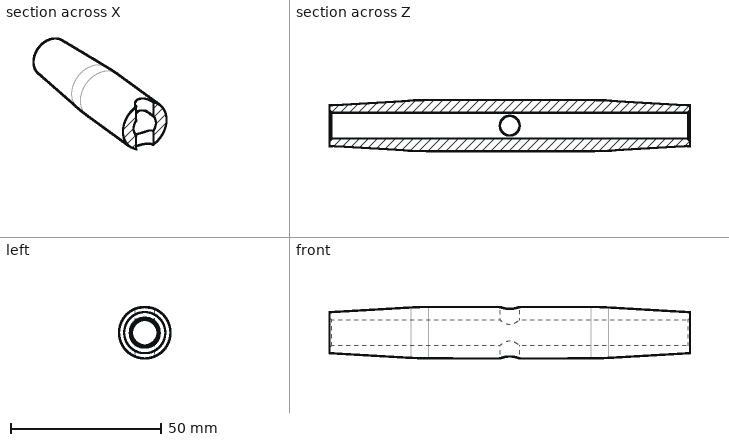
import cadquery as cq
import math

length = 120.0
body_diameter = 17.2
end_diameter = 13.7
taper_length = 30.0
blend_radius = 100.0

bore_diameter = 8.5
bore_mouth_diameter = 10.0
bore_chamfer = (bore_mouth_diameter - bore_diameter) / 2

cross_hole_diameter = 6.5

half_length = length / 2
body_radius = body_diameter / 2
end_radius = end_diameter / 2
bore_radius = bore_diameter / 2
mouth_radius = bore_mouth_diameter / 2

taper_angle = math.atan2(body_radius - end_radius, taper_length)
corner_x = half_length - taper_length
tangent_length = blend_radius * math.tan(taper_angle / 2)
body_tangent_x = corner_x - tangent_length
taper_tangent_x = corner_x + tangent_length * math.cos(taper_angle)
taper_tangent_radius = body_radius - tangent_length * math.sin(taper_angle)
arc_middle_x = body_tangent_x + blend_radius * math.sin(taper_angle / 2)
arc_middle_radius = body_radius - blend_radius * (1 - math.cos(taper_angle / 2))


def make_tube():
    """Revolve the wall section of the tube about the X axis."""
    section = (
        cq.Workplane("XZ")
        .moveTo(-half_length, end_radius)
        .lineTo(-taper_tangent_x, taper_tangent_radius)
        .threePointArc((-arc_middle_x, arc_middle_radius), (-body_tangent_x, body_radius))
        .lineTo(body_tangent_x, body_radius)
        .threePointArc((arc_middle_x, arc_middle_radius), (taper_tangent_x, taper_tangent_radius))
        .lineTo(half_length, end_radius)
        .lineTo(half_length, mouth_radius)
        .lineTo(half_length - bore_chamfer, bore_radius)
        .lineTo(bore_chamfer - half_length, bore_radius)
        .lineTo(-half_length, mouth_radius)
        .close()
    )
    return section.revolve(360, (0, 0, 0), (1, 0, 0))


def make_cross_hole():
    """Cutter for the hole that passes through both walls along Z."""
    return cq.Workplane("XY").circle(cross_hole_diameter / 2).extrude(body_radius, both=True)


result = make_tube().cut(make_cross_hole())